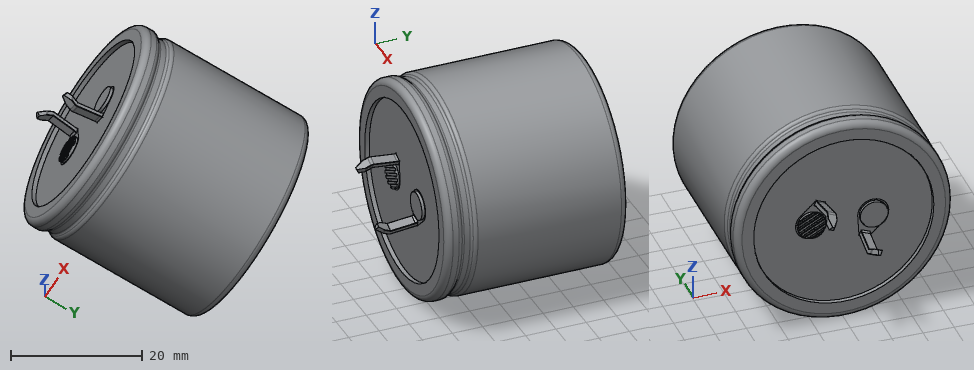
import cadquery as cq
import math

can_radius = 34.96 / 2
can_length = 30.0
edge_radius = 1.09
recess_radius = 29.0 / 2
recess_depth = 0.75

groove_center = 3.65
groove_floor_width = 0.95
groove_floor_radius = 33.86 / 2
groove_flank_length = 1.08
groove_lip_share = 0.6

terminal_offset = 5.0
terminal_angle = 68.0
plate_radius = 2.5
rivet_radius = 4.5 / 2
rivet_height = 0.5
strip_thickness = 0.8
strip_width = 1.58
pin_reach = 6.0
pin_root = 3.77
pin_knee = 4.38
pin_tip = 3.17
foot_height = 0.4
foot_flare = 0.2
knee_reach = 3.7
taper_reach = 4.7
tip_width = 0.4
bend_radius = 0.8
pin_edge_chamfer = 0.07

mark_angle = 28.0
mark_count = 5
mark_width = 0.43
mark_pitch = 2 * mark_width
mark_depth = 0.2


def make_can():
    """Revolve the outer profile, with rounded ends and the crimp groove, and sink the front recess."""
    flank_drop = can_radius - groove_floor_radius
    flank_turn = 2 * math.atan(flank_drop / groove_flank_length)
    joint_radius = can_radius - groove_lip_share * flank_drop
    lip_radius = groove_lip_share * groove_flank_length / math.sin(flank_turn)
    root_radius = (1 - groove_lip_share) * groove_flank_length / math.sin(flank_turn)

    floor_half = groove_floor_width / 2
    joint_half = floor_half + (1 - groove_lip_share) * groove_flank_length
    groove_half = floor_half + groove_flank_length

    profile = (
        cq.Workplane("XY")
        .lineTo(can_radius - edge_radius, 0)
        .radiusArc((can_radius, edge_radius), -edge_radius)
        .lineTo(can_radius, groove_center - groove_half)
        .radiusArc((joint_radius, groove_center - joint_half), -lip_radius)
        .radiusArc((groove_floor_radius, groove_center - floor_half), root_radius)
        .lineTo(groove_floor_radius, groove_center + floor_half)
        .radiusArc((joint_radius, groove_center + joint_half), root_radius)
        .radiusArc((can_radius, groove_center + groove_half), -lip_radius)
        .lineTo(can_radius, can_length - edge_radius)
        .radiusArc((can_radius - edge_radius, can_length), -edge_radius)
        .lineTo(0, can_length)
        .close()
    )
    can = profile.revolve(360, (0, 0, 0), (0, 1, 0))
    recess = cq.Workplane("XZ").circle(recess_radius).extrude(-recess_depth)
    return can.cut(recess)




def make_plate():
    """Teardrop: a round end joined by tangent lines to the straight edge under the pin."""
    end_x = pin_root + strip_thickness / 2
    end_y = strip_width / 2
    tangent_angle = math.atan2(end_y, end_x) + math.acos(plate_radius / math.hypot(end_x, end_y))
    tangent_x = plate_radius * math.cos(tangent_angle)
    tangent_y = plate_radius * math.sin(tangent_angle)
    return (
        cq.Workplane("XY")
        .moveTo(end_x, -end_y)
        .lineTo(end_x, end_y)
        .lineTo(tangent_x, tangent_y)
        .threePointArc((-plate_radius, 0), (tangent_x, -tangent_y))
        .close()
        .extrude(-strip_thickness)
    )


def make_pin():
    """Flat strip on a flared foot: leans outward, bends back at the knee, narrows to its tip."""
    half = strip_thickness / 2
    knee_z = recess_depth + knee_reach
    tip_z = recess_depth + pin_reach
    lean = math.atan2(pin_knee - pin_root, knee_z - foot_height)
    return_lean = math.atan2(pin_knee - pin_tip, tip_z - knee_z)

    corner_x = half * math.cos(return_lean)
    corner_z = half * math.sin(return_lean)
    knee_tilt = (return_lean - lean) / 2
    knee_half = half / math.cos((return_lean + lean) / 2)
    knee_x = knee_half * math.cos(knee_tilt)
    knee_dz = knee_half * math.sin(knee_tilt)

    strip = (
        cq.Workplane("XZ")
        .moveTo(pin_root - half - foot_flare, 0)
        .lineTo(pin_root - half, foot_height)
        .lineTo(pin_knee - knee_x, knee_z - knee_dz)
        .lineTo(pin_tip - corner_x, tip_z - 2 * corner_z)
        .lineTo(pin_tip + corner_x, tip_z)
        .lineTo(pin_knee + knee_x, knee_z + knee_dz)
        .lineTo(pin_root + half, foot_height)
        .lineTo(pin_root + half, 0)
        .close()
        .extrude(strip_width / 2, both=True)
    )
    outer_knee = cq.selectors.NearestToPointSelector((pin_knee + knee_x, 0, knee_z + knee_dz))
    strip = strip.edges("|Y").edges(outer_knee).fillet(bend_radius)

    taper_z = recess_depth + taper_reach
    width_outline = (
        cq.Workplane("YZ")
        .polyline([
            (-strip_width / 2, 0),
            (strip_width / 2, 0),
            (strip_width / 2, taper_z),
            (tip_width / 2, tip_z),
            (-tip_width / 2, tip_z),
            (-strip_width / 2, taper_z),
        ])
        .close()
        .extrude(pin_knee + plate_radius)
    )
    pin = strip.intersect(width_outline)
    return pin.faces(">Y or <Y").edges("not(<Z)").chamfer(pin_edge_chamfer)


def make_rivet(marked):
    """Rivet head on the plate; the marks are turned to run at mark_angle once in place."""
    rivet = cq.Workplane("XY").circle(rivet_radius).extrude(rivet_height)
    if marked:
        marks = (
            cq.Workplane("XY", origin=(0, 0, rivet_height))
            .rarray(mark_pitch, 1, mark_count, 1)
            .rect(mark_width, 2 * rivet_radius)
            .extrude(-mark_depth)
            .rotate((0, 0, 0), (0, 0, 1), mark_angle - 90 - terminal_angle)
        )
        rivet = rivet.cut(marks)
    return rivet


def place_terminal(shape, side):
    """Move a terminal shape into the recess; the +X side is the -X side turned half round."""
    turn = terminal_angle if side < 0 else terminal_angle + 180
    return (
        shape.rotate((0, 0, 0), (0, 0, 1), turn)
        .rotate((0, 0, 0), (1, 0, 0), 90)
        .translate((side * terminal_offset, recess_depth, 0))
    )


def make_terminal(side):
    """Only the negative terminal, on the -X side, carries the marking grooves."""
    terminal = make_plate().union(make_pin()).union(make_rivet(marked=side < 0))
    return place_terminal(terminal, side)


housing = make_can()
terminals = []
for side in (-1, 1):
    housing = housing.cut(place_terminal(make_plate(), side))
    terminals.append(make_terminal(side))

result = cq.Compound.makeCompound([housing.val()] + [terminal.val() for terminal in terminals])